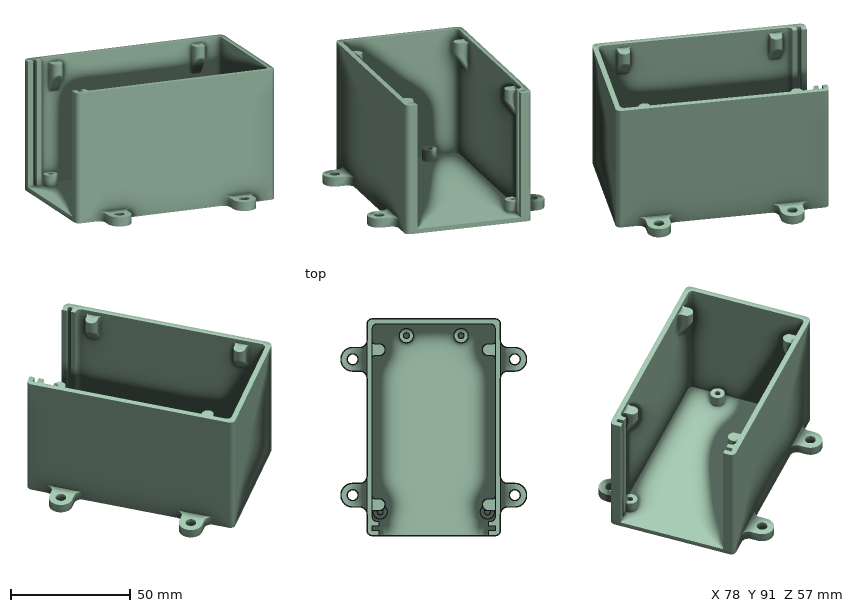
import cadquery as cq

BOX_LENGTH = 91.0
BOX_WIDTH = 56.0
BOX_HEIGHT = 57.0
WALL = 2.2
FLOOR = 2.0
OUTER_CORNER_RADIUS = 2.2
INNER_CORNER_RADIUS = 2.0

RAIL_REACH = 2.8
FRONT_RAIL_THICKNESS = 2.2
SLOT_WIDTH = 1.8
REAR_RAIL_THICKNESS = 2.0

OVERALL_WIDTH = 78.0
EAR_RADIUS = 5.0
EAR_THICKNESS = 4.0
EAR_HOLE_DIAMETER = 4.5
EAR_ROOT_FILLET = 3.0
EAR_Y = 28.5

POST_DIAMETER = 6.0
POST_HOLE_DIAMETER = 2.5
POST_TOP_Z = 7.0
REAR_POST_X = 11.5
REAR_POST_Y = 38.4
FRONT_POST_X = 22.5
FRONT_POST_Y = -35.5

LUG_WIDTH = 5.0
LUG_REACH = 5.5
LUG_DROP = 2.0
LUG_TIP_HEIGHT = 5.0
LUG_SLOPE_HEIGHT = 8.0
LUG_FILLET = 1.0
LUG_Y = 32.5

half_length = BOX_LENGTH / 2
half_width = BOX_WIDTH / 2
inner_half_width = half_width - WALL
slot_front_y = -half_length + FRONT_RAIL_THICKNESS
slot_rear_y = slot_front_y + SLOT_WIDTH
cavity_front_y = slot_rear_y + REAR_RAIL_THICKNESS
cavity_rear_y = half_length - WALL
lug_wall_x = -inner_half_width
lug_top_z = BOX_HEIGHT - LUG_DROP


def open_space(x_size, y_start, y_end):
    """Block of empty space above the floor, centred on X = 0."""
    return (
        cq.Workplane("XY", origin=(0, (y_start + y_end) / 2, FLOOR))
        .rect(x_size, y_end - y_start)
        .extrude(BOX_HEIGHT - FLOOR)
    )


def make_shell():
    """Tray with inward rails at the front that hold the panel slots between them."""
    block = (
        cq.Workplane("XY")
        .rect(BOX_WIDTH, BOX_LENGTH)
        .extrude(BOX_HEIGHT)
        .edges("|Z")
        .fillet(OUTER_CORNER_RADIUS)
    )
    cavity = open_space(2 * inner_half_width, cavity_front_y, cavity_rear_y)
    cavity = cavity.edges("|Z").fillet(INNER_CORNER_RADIUS)
    panel_slot = open_space(2 * inner_half_width, slot_front_y, slot_rear_y)
    front_opening = open_space(2 * (inner_half_width - RAIL_REACH), -half_length, 0)
    return block.cut(cavity).cut(panel_slot).cut(front_opening)


def add_ears(body):
    """Add four drilled ears, each blended into the outer side wall."""
    ear_x = OVERALL_WIDTH / 2 - EAR_RADIUS
    for y in (-EAR_Y, EAR_Y):
        bar = cq.Workplane("XY", origin=(0, y, 0)).slot2D(OVERALL_WIDTH, 2 * EAR_RADIUS)
        inside = open_space(2 * inner_half_width, y - EAR_RADIUS, y + EAR_RADIUS)
        body = body.union(bar.extrude(EAR_THICKNESS).cut(inside))
    for side in (-1, 1):
        for y in (-EAR_Y, EAR_Y):
            for edge_y in (y - EAR_RADIUS, y + EAR_RADIUS):
                root = cq.selectors.NearestToPointSelector((side * half_width, edge_y, EAR_THICKNESS / 2))
                body = body.edges("|Z").edges(root).fillet(EAR_ROOT_FILLET)
    holes = (
        cq.Workplane("XY")
        .rect(2 * ear_x, 2 * EAR_Y, forConstruction=True)
        .vertices()
        .circle(EAR_HOLE_DIAMETER / 2)
        .extrude(EAR_THICKNESS)
    )
    return body.cut(holes)


def make_lug():
    """Lug on the -X wall at Y = 0: round-nosed in plan, with a rounded sloping underside."""
    buried_x = lug_wall_x - WALL / 2
    nose_x = lug_wall_x + LUG_REACH
    nose_start_x = nose_x - LUG_WIDTH / 2
    slope_top_z = lug_top_z - LUG_TIP_HEIGHT
    buried_z = slope_top_z - LUG_SLOPE_HEIGHT * (nose_x - buried_x) / LUG_REACH
    column = (
        cq.Workplane("XY")
        .moveTo(buried_x, LUG_WIDTH / 2)
        .lineTo(nose_start_x, LUG_WIDTH / 2)
        .threePointArc((nose_x, 0), (nose_start_x, -LUG_WIDTH / 2))
        .lineTo(buried_x, -LUG_WIDTH / 2)
        .close()
        .extrude(lug_top_z)
    )
    side_profile = (
        cq.Workplane("XZ")
        .moveTo(buried_x, lug_top_z)
        .lineTo(nose_x, lug_top_z)
        .lineTo(nose_x, slope_top_z)
        .lineTo(buried_x, buried_z)
        .close()
        .extrude(LUG_WIDTH, both=True)
    )
    lug = column.intersect(side_profile)
    return lug.faces("<Z").edges("not(<X)").fillet(LUG_FILLET)


def add_lugs(body):
    """Add two lugs to each side wall."""
    lug = make_lug()
    for y in (-LUG_Y, LUG_Y):
        placed = lug.translate((0, y, 0))
        body = body.union(placed).union(placed.mirror("YZ"))
    tolerance = 0.1
    half_zone = LUG_WIDTH / 2 + tolerance
    for side in (-1, 1):
        for y in (-LUG_Y, LUG_Y):
            wall_zone = cq.selectors.BoxSelector(
                (side * inner_half_width - tolerance, y - half_zone, FLOOR + tolerance),
                (side * inner_half_width + tolerance, y + half_zone, lug_top_z - tolerance),
            )
            body = body.edges(wall_zone).fillet(LUG_FILLET)
    return body


def add_posts(body):
    """Add the posts, with holes that stop at the floor."""
    posts = [
        (-REAR_POST_X, REAR_POST_Y),
        (REAR_POST_X, REAR_POST_Y),
        (-FRONT_POST_X, FRONT_POST_Y),
        (FRONT_POST_X, FRONT_POST_Y),
    ]
    tubes = (
        cq.Workplane("XY", origin=(0, 0, FLOOR))
        .pushPoints(posts)
        .circle(POST_DIAMETER / 2)
        .circle(POST_HOLE_DIAMETER / 2)
        .extrude(POST_TOP_Z - FLOOR)
    )
    return body.union(tubes)


result = add_posts(add_lugs(add_ears(make_shell())))